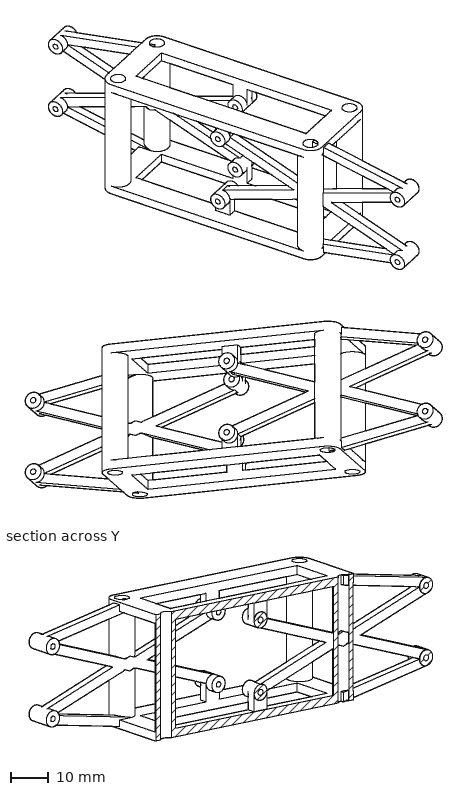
import cadquery as cq

post_spacing_x = 60.0
post_spacing_y = 20.0
post_diameter = 7.0
post_hole_diameter = 4.0
frame_height = 35.0
plate_thickness = 2.5

frame_length = post_spacing_x + post_diameter
frame_width = post_spacing_y + post_diameter
window_length = post_spacing_x - post_diameter
window_width = post_spacing_y - post_diameter
frame_top = frame_height / 2
plate_underside = frame_top - plate_thickness
post_x = -post_spacing_x / 2

overall_length = 120.5
sleeve_diameter = 4.5
sleeve_bore = 1.5
sleeve_length = 7.5
sleeve_z = 10.0
sleeve_radius = sleeve_diameter / 2
outer_sleeve_x = -(overall_length - sleeve_diameter) / 2
sleeve_reach = post_x - outer_sleeve_x
inner_sleeve_x = post_x + sleeve_reach

bar_thickness = 2.5
bar_inner_y = window_width / 2
bar_outer_y = bar_inner_y + bar_thickness
sleeve_centre_y = bar_inner_y + bar_thickness / 2
brace_height = 2.67
cross_height = 3.0
cross_drop = 9.8


def bar_prism(points):
    """Extrude an XZ outline across the thickness of the bars."""
    outline = cq.Workplane("XZ", origin=(0, bar_outer_y, 0)).polyline(points).close()
    return outline.extrude(bar_thickness)


def sleeve_cylinder(x, diameter):
    """Cylinder along Y over the full sleeve length."""
    start_y = sleeve_centre_y + sleeve_length / 2
    base = cq.Workplane("XZ", origin=(x, start_y, sleeve_z))
    return base.circle(diameter / 2).extrude(sleeve_length)


def corner_cylinders(diameter):
    """Full-height cylinder at each of the four corners."""
    base = cq.Workplane("XY", origin=(0, 0, -frame_top))
    return base.rarray(post_spacing_x, post_spacing_y, 2, 2).circle(diameter / 2).extrude(frame_height)


def plate(bottom_z):
    """Windowed plate with square notches at the corners, which the posts round off."""
    base = cq.Workplane("XY", origin=(0, 0, bottom_z))
    along_x = base.rect(frame_length, post_spacing_y).extrude(plate_thickness)
    along_y = base.rect(post_spacing_x, frame_width).extrude(plate_thickness)
    window = base.rect(window_length, window_width).extrude(plate_thickness)
    return along_x.union(along_y).cut(window)


def frame():
    """Posts joined by both plates, with the post holes bored right through."""
    body = corner_cylinders(post_diameter).union(plate(-frame_top)).union(plate(plate_underside))
    return body.cut(corner_cylinders(post_hole_diameter))


def brace():
    """Bar from the top of the outer sleeve up to the top of the frame at the post axis."""
    start_z = sleeve_z + sleeve_radius
    return bar_prism([
        (outer_sleeve_x, start_z),
        (post_x, frame_top),
        (post_x, frame_top - brace_height),
        (outer_sleeve_x, start_z - brace_height),
    ])


def cross_bar(sleeve_x):
    """Bar from the bottom of a sleeve to the post axis at mid height."""
    start_z = sleeve_z - sleeve_radius
    end_z = start_z - cross_drop
    return bar_prism([
        (sleeve_x, start_z),
        (post_x, end_z),
        (post_x, end_z + cross_height),
        (sleeve_x, start_z + cross_height),
    ])


def tab():
    """Square lug that hangs the inner sleeve from the plate."""
    left = inner_sleeve_x - sleeve_radius
    right = inner_sleeve_x + sleeve_radius
    return bar_prism([
        (left, sleeve_z),
        (right, sleeve_z),
        (right, plate_underside),
        (left, plate_underside),
    ])


def upper_linkage():
    """Upper half of one linkage: brace, tab, two cross bars and two bored sleeves."""
    body = brace().union(tab())
    for x in (outer_sleeve_x, inner_sleeve_x):
        body = body.union(cross_bar(x)).union(sleeve_cylinder(x, sleeve_diameter))
    for x in (outer_sleeve_x, inner_sleeve_x):
        body = body.cut(sleeve_cylinder(x, sleeve_bore))
    return body


upper = upper_linkage()
linkage = upper.union(upper.mirror("XY"))
opposite_linkage = linkage.rotate((0, 0, 0), (0, 0, 1), 180)

result = frame().union(linkage).union(opposite_linkage)